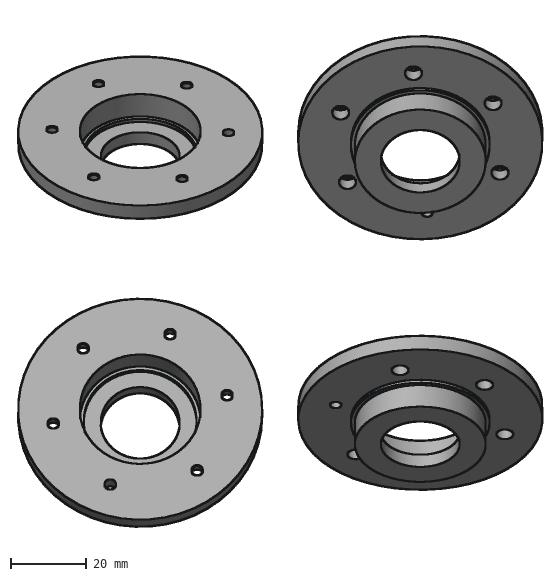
import cadquery as cq
import math

flange_diameter = 65.0
flange_thickness = 4.5
shoulder_diameter = 37.0
shoulder_height = 1.0
hub_diameter = 34.85
total_height = 12.5

seat_diameter = 32.2
seat_depth = 7.5
relief_diameter = 30.0
relief_depth = 8.5
bore_diameter = 21.0

bolt_hole_diameter = 3.0
bolt_circle_diameter = 47.0
bolt_count = 6
counterbore_diameter = 4.5
counterbore_roof = 0.5
plain_hole_index = 1


def disc_from_top(diameter, depth):
    """Cylinder on the Z axis reaching from the top face down to the given depth."""
    top_face = cq.Workplane("XY").workplane(offset=total_height)
    return top_face.circle(diameter / 2).extrude(-depth)


def stepped_body():
    flange = disc_from_top(flange_diameter, flange_thickness)
    shoulder = disc_from_top(shoulder_diameter, flange_thickness + shoulder_height)
    hub = disc_from_top(hub_diameter, total_height)
    return flange.union(shoulder).union(hub)


def stepped_bore():
    seat = disc_from_top(seat_diameter, seat_depth)
    relief = disc_from_top(relief_diameter, relief_depth)
    through_bore = disc_from_top(bore_diameter, total_height)
    return seat.union(relief).union(through_bore)


def bolt_hole(index):
    """Through hole at the given place, counterbored from the flange underside unless plain."""
    angle = math.radians(index * 360 / bolt_count)
    x = bolt_circle_diameter / 2 * math.cos(angle)
    y = bolt_circle_diameter / 2 * math.sin(angle)
    hole = disc_from_top(bolt_hole_diameter, flange_thickness)
    if index != plain_hole_index:
        underside = cq.Workplane("XY").workplane(offset=total_height - flange_thickness)
        counterbore_height = flange_thickness - counterbore_roof
        hole = hole.union(underside.circle(counterbore_diameter / 2).extrude(counterbore_height))
    return hole.translate((x, y, 0))


result = stepped_body().cut(stepped_bore())
for hole_index in range(bolt_count):
    result = result.cut(bolt_hole(hole_index))